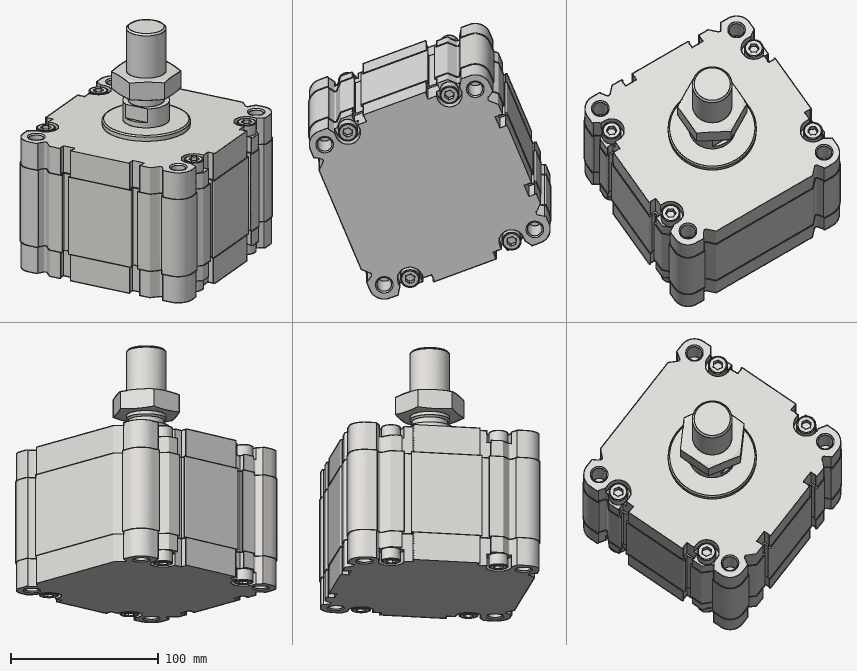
import cadquery as cq


barrel_width = 132.0
cap_inset = 0.5
cap_width = barrel_width - 2 * cap_inset
housing_height = 96.0
cap_thickness = 19.5
edge_radius = 0.5

groove_tip_outer = 45.4
groove_tip_inner = 44.2
groove_floor = 60.8
groove_wall = 48.0
groove_wall_depth = 1.2
groove_ramp_end = 39.1

slot_offset = 26.9
slot_mouth_width = 5.0
slot_inner_width = 6.5
slot_lip = 1.5
slot_depth = 4.7
cap_slot_mouth_width = 7.7
cap_slot_inner_width = 8.7
cap_slot_lip = 1.0
cap_slot_depth = 5.4

hole_spacing = 110.0
hole_diameter = 10.0
hole_mouth_diameter = 12.0
hole_depth = cap_thickness
corner_radius = (barrel_width - hole_spacing) / 2

screw_x = 57.5
screw_y = 37.1
pocket_width = 17.1
pocket_depth = 8.2
head_diameter = 13.0
head_height = 8.0
head_top_diameter = 11.5
head_bevel_height = 0.42
socket_across_flats = 6.0
socket_depth = 4.0

collar_diameter = 60.0
collar_height = 4.0
collar_chamfer = 1.0

rod_diameter = 32.0
rod_shoulder_z = 113.9
flat_bottom_z = 103.8
flat_across = 27.0
neck_diameter = 24.5
neck_top_z = 118.6
thread_diameter = 27.0
rod_top_z = 168.0
thread_chamfer = (thread_diameter - neck_diameter) / 2
rod_bottom_z = housing_height - cap_thickness

nut_bottom_z = 122.1
nut_height = 13.5
nut_across_flats = 41.0
nut_corner_drop = 0.7
HEX_CORNER_RATIO = 2 / 3 ** 0.5

ALL_SIDES = (0, 90, 180, 270)
SLOTTED_SIDES = (90, 180, 270)


def hexagon_prism(across_flats, height):
    """Upright hexagonal prism with a corner on +Y."""
    prism = cq.Workplane("XY").polygon(6, across_flats * HEX_CORNER_RATIO).extrude(height)
    return prism.rotate((0, 0, 0), (0, 0, 1), 90)


def groove_cutter(growth, height):
    """One V groove on the +Y side, towards +X, the barrel's groove grown on every side."""
    face = barrel_width / 2
    outline = [
        (groove_wall, face),
        (groove_wall, face - groove_wall_depth),
        (groove_tip_outer, groove_floor),
        (groove_tip_inner, groove_floor),
        (groove_ramp_end, face),
    ]
    groove = cq.Workplane("XY").polyline(outline).close()
    if growth > 0:
        groove = groove.offset2D(growth, "intersection")
    return groove.extrude(height).edges("|Z and <Y").fillet(edge_radius + growth)


def slot_cutter(face, mouth, inner, lip, depth, height):
    """One undercut slot on the +Y side, towards +X."""
    inside_depth = depth - lip
    opening = cq.Workplane("XY").center(slot_offset, face - depth / 2).rect(mouth, depth)
    inside = cq.Workplane("XY").center(slot_offset, face - lip - inside_depth / 2).rect(inner, inside_depth)
    return opening.extrude(height).union(inside.extrude(height))


def profile_block(width, outer_radius, groove, slot, height):
    """Rounded square extrusion with its grooves and slots, standing on z = 0."""
    block = cq.Workplane("XY").rect(width, width).extrude(height)
    block = block.edges("|Z").fillet(outer_radius)
    grooves = groove.union(groove.mirror("YZ"))
    slots = slot.union(slot.mirror("YZ"))
    for turn in ALL_SIDES:
        block = block.cut(grooves.rotate((0, 0, 0), (0, 0, 1), turn))
    for turn in SLOTTED_SIDES:
        block = block.cut(slots.rotate((0, 0, 0), (0, 0, 1), turn))
    reach = width / 2 - outer_radius - edge_radius
    for turn in ALL_SIDES:
        side = block.rotate((0, 0, 0), (0, 0, 1), -turn)
        near_corner = (-reach, width / 2 - edge_radius, 0)
        far_corner = (reach, width / 2 + edge_radius, height)
        on_face = cq.selectors.BoxSelector(near_corner, far_corner)
        side = side.edges("|Z").edges(on_face).fillet(edge_radius)
        block = side.rotate((0, 0, 0), (0, 0, 1), turn)
    return block


def mounting_hole():
    """Blind hole with a chamfered mouth, opening upward at z = cap_thickness."""
    radius = hole_diameter / 2
    mouth_radius = hole_mouth_diameter / 2
    outline = [
        (0, cap_thickness - hole_depth),
        (radius, cap_thickness - hole_depth),
        (radius, cap_thickness - (mouth_radius - radius)),
        (mouth_radius, cap_thickness),
        (0, cap_thickness),
    ]
    return cq.Workplane("XZ").polyline(outline).close().revolve(360, (0, 0), (0, 1))


def screw_head():
    """Socket head standing on z = 0."""
    outline = [
        (0, 0),
        (head_diameter / 2, 0),
        (head_diameter / 2, head_height - head_bevel_height),
        (head_top_diameter / 2, head_height),
        (0, head_height),
    ]
    head = cq.Workplane("XZ").polyline(outline).close().revolve(360, (0, 0), (0, 1))
    socket = hexagon_prism(socket_across_flats, socket_depth)
    return head.cut(socket.translate((0, 0, head_height - socket_depth)))


def screw_pocket():
    """Pocket around a screw at the origin, open towards +X."""
    reach = cap_width / 2
    pocket = cq.Workplane("XY").circle(pocket_width / 2).extrude(pocket_depth)
    channel = cq.Workplane("XY").center(reach / 2, 0).rect(reach, pocket_width).extrude(pocket_depth)
    return pocket.union(channel)


def make_cap():
    """End cap with its outer face at z = cap_thickness and its screws in place."""
    groove = groove_cutter(cap_inset, cap_thickness)
    slot_sizes = (cap_slot_mouth_width, cap_slot_inner_width, cap_slot_lip, cap_slot_depth)
    slot = slot_cutter(cap_width / 2, *slot_sizes, cap_thickness)
    cap = profile_block(cap_width, corner_radius - cap_inset, groove, slot, cap_thickness)
    pocket_floor = cap_thickness - pocket_depth
    for side_x in (1, -1):
        for side_y in (1, -1):
            hole_place = (side_x * hole_spacing / 2, side_y * hole_spacing / 2, 0)
            cap = cap.cut(mounting_hole().translate(hole_place))
            screw_place = (side_x * screw_x, side_y * screw_y, pocket_floor)
            pocket = screw_pocket()
            if side_x < 0:
                pocket = pocket.mirror("YZ")
            cap = cap.cut(pocket.translate(screw_place))
            cap = cap.union(screw_head().translate(screw_place))
    return cap


def make_barrel(height):
    """Middle section with undercut slots, standing on z = 0."""
    slot_sizes = (slot_mouth_width, slot_inner_width, slot_lip, slot_depth)
    slot = slot_cutter(barrel_width / 2, *slot_sizes, height)
    return profile_block(barrel_width, corner_radius, groove_cutter(0, height), slot, height)


def make_housing():
    """Barrel, both end caps and the guide collar, bored for the rod."""
    barrel = make_barrel(housing_height - 2 * cap_thickness)
    cap = make_cap()
    top_cap = cap.translate((0, 0, housing_height - cap_thickness))
    bottom_cap = cap.mirror("XY").translate((0, 0, cap_thickness))
    collar = cq.Workplane("XY").workplane(offset=housing_height)
    collar = collar.circle(collar_diameter / 2).extrude(collar_height)
    collar = collar.faces(">Z").edges().chamfer(collar_chamfer)
    housing = barrel.translate((0, 0, cap_thickness)).union(top_cap).union(bottom_cap).union(collar)
    bore = cq.Workplane("XY").workplane(offset=rod_bottom_z).circle(rod_diameter / 2)
    return housing.cut(bore.extrude(housing_height + collar_height - rod_bottom_z))


def make_rod():
    """Stepped rod with wrench flats and a chamfered end."""
    rod_radius = rod_diameter / 2
    neck_radius = neck_diameter / 2
    thread_radius = thread_diameter / 2
    outline = [
        (0, rod_bottom_z),
        (rod_radius, rod_bottom_z),
        (rod_radius, rod_shoulder_z),
        (neck_radius, rod_shoulder_z),
        (neck_radius, neck_top_z),
        (thread_radius, neck_top_z + thread_chamfer),
        (thread_radius, rod_top_z - thread_chamfer),
        (thread_radius - thread_chamfer, rod_top_z),
        (0, rod_top_z),
    ]
    rod = cq.Workplane("XZ").polyline(outline).close().revolve(360, (0, 0), (0, 1))
    flat_height = rod_shoulder_z - flat_bottom_z
    for side in (1, -1):
        flat = cq.Workplane("XY").box(rod_diameter, rod_diameter, flat_height, centered=(True, True, False))
        rod = rod.cut(flat.translate((0, side * (flat_across + rod_diameter) / 2, flat_bottom_z)))
    return rod


def make_nut():
    """Hexagon nut with its corners bevelled from the circle inscribed in the flats."""
    inscribed_radius = nut_across_flats / 2
    corner_reach = inscribed_radius * HEX_CORNER_RATIO
    outline = [
        (thread_diameter / 2, 0),
        (inscribed_radius, 0),
        (corner_reach, nut_corner_drop),
        (corner_reach, nut_height - nut_corner_drop),
        (inscribed_radius, nut_height),
        (thread_diameter / 2, nut_height),
    ]
    envelope = cq.Workplane("XZ").polyline(outline).close().revolve(360, (0, 0), (0, 1))
    nut = hexagon_prism(nut_across_flats, nut_height).intersect(envelope)
    return nut.translate((0, 0, nut_bottom_z))


housing = make_housing()
rod = make_rod()
nut = make_nut()

result = cq.Compound.makeCompound([housing.val(), rod.val(), nut.val()])